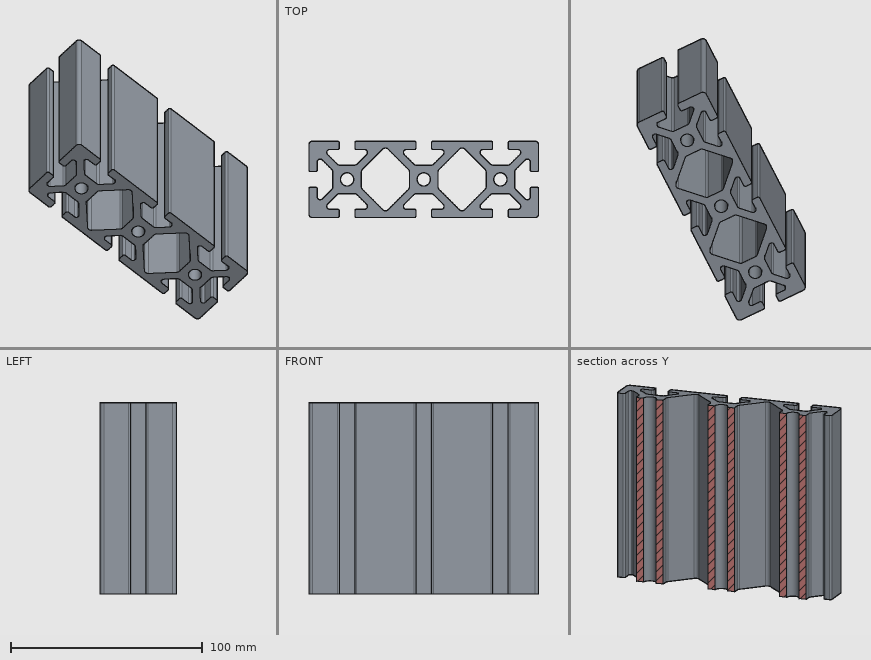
import cadquery as cq
import math

MODULE = 40.0
MODULE_COUNT = 3
LENGTH = 100.0
WIDTH = MODULE * MODULE_COUNT
HALF_WIDTH = WIDTH / 2
HALF_MODULE = MODULE / 2
CORNER_RADIUS = 2.0

CORE_SIZE = 15.0
CORE_BORE = 6.8
WEB_THICKNESS = 4.0
HALF_CORE = CORE_SIZE / 2
WEB_OFFSET = WEB_THICKNESS / math.sqrt(2)
CORE_FILLET = 2.0
CORE_FLAT_HALF = HALF_CORE - WEB_OFFSET

SLOT_OPENING = 8.0
LIP_THICKNESS = 4.5
LIP_RADIUS = 1.0
POCKET_WIDTH = 21.0
POCKET_RADIUS = 1.2

CAVITY_APEX_RADIUS = 2.0


def row_centres(count):
    """X positions of a row of items at module pitch, centred on the origin."""
    return [(i - (count - 1) / 2) * MODULE for i in range(count)]


MODULE_CENTRES = row_centres(MODULE_COUNT)
CAVITY_CENTRES = row_centres(MODULE_COUNT - 1)


def make_bar():
    """Solid bar with rounded long edges."""
    return cq.Workplane("XY").rect(WIDTH, MODULE).extrude(LENGTH).edges("|Z").fillet(CORNER_RADIUS)


def edges_at(body, points):
    """Vertical edges of the body that pass through the given XY points."""
    edges = body.newObject([])
    for x, y in points:
        edges = edges.add(body.edges(cq.NearestToPointSelector((x, y, LENGTH / 2))))
    return edges


def make_slot():
    """Cutter for a T-slot opening toward +Y, centred on a module at the origin."""
    opening_x = SLOT_OPENING / 2
    pocket_x = POCKET_WIDTH / 2
    lip_y = HALF_MODULE - LIP_THICKNESS
    pocket_bottom_y = pocket_x + WEB_OFFSET
    right_side = [
        (CORE_FLAT_HALF, HALF_CORE),
        (pocket_x, pocket_bottom_y),
        (pocket_x, lip_y),
        (opening_x, lip_y),
        (opening_x, HALF_MODULE),
    ]
    left_side = [(-x, y) for x, y in reversed(right_side)]
    slot = cq.Workplane("XY").polyline(right_side + left_side).close().extrude(LENGTH)
    pocket_corners = [
        (side * pocket_x, y) for side in (-1, 1) for y in (lip_y, pocket_bottom_y)
    ]
    slot = edges_at(slot, pocket_corners).fillet(POCKET_RADIUS)
    core_corners = [(side * CORE_FLAT_HALF, HALF_CORE) for side in (-1, 1)]
    slot = edges_at(slot, core_corners).fillet(CORE_FILLET)
    inner_lips = [(side * opening_x, lip_y) for side in (-1, 1)]
    return edges_at(slot, inner_lips).fillet(LIP_RADIUS)


def make_cavity():
    """Cutter for the hexagonal cavity between two cores, centred at the origin."""
    flat_x = HALF_MODULE - HALF_CORE
    apex_y = CORE_FLAT_HALF + flat_x
    outline = [
        (flat_x, CORE_FLAT_HALF),
        (0, apex_y),
        (-flat_x, CORE_FLAT_HALF),
        (-flat_x, -CORE_FLAT_HALF),
        (0, -apex_y),
        (flat_x, -CORE_FLAT_HALF),
    ]
    cavity = cq.Workplane("XY").polyline(outline).close().extrude(LENGTH)
    cavity = edges_at(cavity, [(0, apex_y), (0, -apex_y)]).fillet(CAVITY_APEX_RADIUS)
    core_corners = [(sx * flat_x, sy * CORE_FLAT_HALF) for sx in (-1, 1) for sy in (-1, 1)]
    return edges_at(cavity, core_corners).fillet(CORE_FILLET)


def slot_placements():
    """Module centre X and rotation about Z for every T-slot."""
    long_sides = [(x, angle) for x in MODULE_CENTRES for angle in (0, 180)]
    short_sides = [(MODULE_CENTRES[0], 90), (MODULE_CENTRES[-1], -90)]
    return long_sides + short_sides


def cut_slots(body):
    """Cut every T-slot along the full length."""
    slot = make_slot()
    for centre_x, angle in slot_placements():
        body = body.cut(slot.rotate((0, 0, 0), (0, 0, 1), angle).translate((centre_x, 0, 0)))
    return body


def round_lips(body):
    """Round the edges where the slot openings meet the outer faces."""
    half_opening = SLOT_OPENING / 2
    long_side_points = [
        (x + side * half_opening, y)
        for x in MODULE_CENTRES
        for side in (-1, 1)
        for y in (-HALF_MODULE, HALF_MODULE)
    ]
    short_side_points = [
        (x, side * half_opening) for x in (-HALF_WIDTH, HALF_WIDTH) for side in (-1, 1)
    ]
    return edges_at(body, long_side_points + short_side_points).fillet(LIP_RADIUS)


def cut_cavities(body):
    """Cut the through cavities between neighbouring modules."""
    cavity = make_cavity()
    for centre_x in CAVITY_CENTRES:
        body = body.cut(cavity.translate((centre_x, 0, 0)))
    return body


def cut_bores(body):
    """Bore each core along its axis."""
    bores = cq.Workplane("XY").pushPoints([(x, 0) for x in MODULE_CENTRES])
    return body.cut(bores.circle(CORE_BORE / 2).extrude(LENGTH))


profile = make_bar()
profile = cut_slots(profile)
profile = round_lips(profile)
profile = cut_cavities(profile)
result = cut_bores(profile)